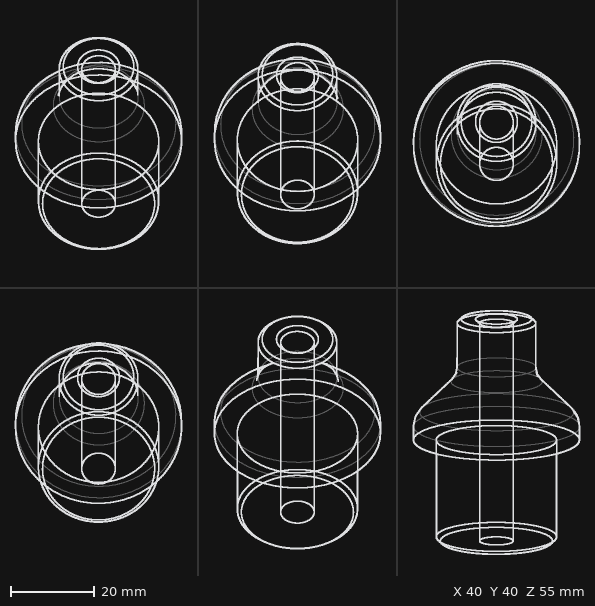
import cadquery as cq

total_height = 55.0
shank_height = 25.0
flange_rim_height = 5.5

shank_diameter = 29.0
flange_diameter = 40.0
nose_diameter = 19.0
bore_diameter = 8.1

blend_radius = 5.0
edge_chamfer = 1.0
countersink_angle = 90.0

shank_radius = shank_diameter / 2
flange_radius = flange_diameter / 2
nose_radius = nose_diameter / 2
cone_bottom = shank_height + flange_rim_height
cone_top = cone_bottom + flange_radius - nose_radius


def make_body():
    """Revolve the stepped outline: shank, flange, cone and nose."""
    outline = (
        cq.Workplane("XZ")
        .lineTo(shank_radius, 0)
        .lineTo(shank_radius, shank_height)
        .lineTo(flange_radius, shank_height)
        .lineTo(flange_radius, cone_bottom)
        .lineTo(nose_radius, cone_top)
        .lineTo(nose_radius, total_height)
        .lineTo(0, total_height)
        .close()
    )
    return outline.revolve(axisStart=(0, 0, 0), axisEnd=(0, 1, 0))


def blend_cone(body):
    """Round the two circular edges where the cone starts and ends."""
    return body.faces("%CONE").edges("%CIRCLE").fillet(blend_radius)


def chamfer_ends(body):
    """Break the outer edges of the bottom and top faces."""
    return body.faces("<Z or >Z").edges("%CIRCLE").chamfer(edge_chamfer)


def cut_bore(body):
    """Drill the through bore and countersink its upper mouth."""
    mouth_diameter = bore_diameter + 2 * edge_chamfer
    return body.faces(">Z").workplane().cskHole(bore_diameter, mouth_diameter, countersink_angle)


result = cut_bore(chamfer_ends(blend_cone(make_body())))